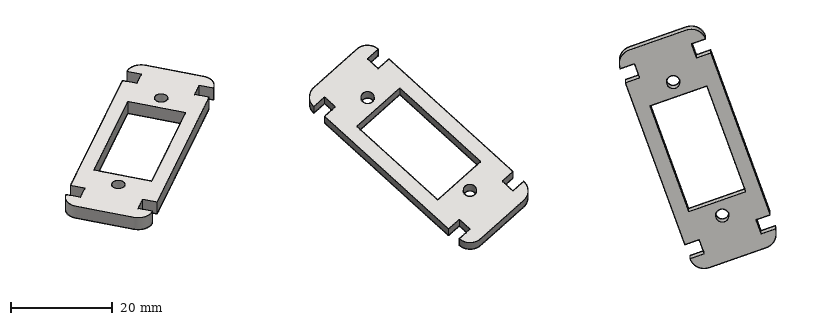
import cadquery as cq

width = 17.8
length = 46.5
thickness = 3.0
corner_radius = 2.98
notch_size = 2.98
rail_width = 2.98
window_length = 22.55
hole_diameter = 2.6
hole_spacing = 28.5

window_width = width - 2 * rail_width
notch_center_x = (width - notch_size) / 2
notch_center_y = length / 2 - corner_radius - notch_size / 2


def make_plate():
    """Flat plate with rounded vertical corners."""
    plate = cq.Workplane("XY").box(width, length, thickness)
    return plate.edges("|Z").fillet(corner_radius)


def cut_window(body):
    """Rectangular opening through the middle."""
    return body.cut(cq.Workplane("XY").box(window_width, window_length, thickness))


def cut_notches(body):
    """Square side notches, just inboard of the rounded corners."""
    centers = [(sx * notch_center_x, sy * notch_center_y) for sx in (-1, 1) for sy in (-1, 1)]
    notches = cq.Workplane("XY").pushPoints(centers).box(notch_size, notch_size, thickness)
    return body.cut(notches)


def drill_holes(body):
    """Through screw holes beyond each end of the window."""
    centers = [(0, -hole_spacing / 2), (0, hole_spacing / 2)]
    return body.faces(">Z").workplane().pushPoints(centers).hole(hole_diameter)


result = drill_holes(cut_notches(cut_window(make_plate())))